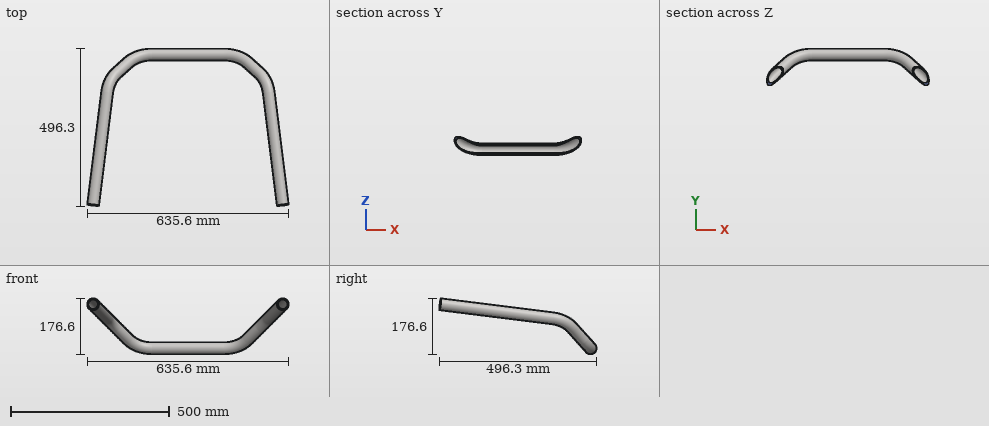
import cadquery as cq
import math

TUBE_OUTER_DIAMETER = 38.1
TUBE_WALL = 4.0
BEND_RADIUS = 92.0

CROSSBAR_LENGTH = 228.0
SHOULDER_LENGTH = 63.5
LEG_LENGTH = 358.8

SIDE_TILT = 45.0
SHOULDER_ANGLE = 57.5
LEG_ANGLE = 10.0


def splayed_direction(angle):
    """Unit vector splayed from -Y by the angle, in the tilted plane of the +X side."""
    splay = math.radians(angle)
    tilt = math.radians(SIDE_TILT)
    return cq.Vector(
        math.sin(splay) * math.cos(tilt),
        -math.cos(splay),
        math.sin(splay) * math.sin(tilt),
    )


def bend(start, incoming, outgoing):
    """Arc of the bend radius that turns the centreline from one direction to the next."""
    turn = incoming.getAngle(outgoing)
    setback = BEND_RADIUS * math.tan(turn / 2)
    corner = start + incoming * setback
    end = corner + outgoing * setback
    inward = (outgoing - incoming).normalized()
    corner_to_arc = BEND_RADIUS * (1 / math.cos(turn / 2) - 1)
    return cq.Edge.makeThreePointArc(start, corner + inward * corner_to_arc, end)


def half_centreline():
    """Centreline from the middle of the crossbar to the open end on the +X side."""
    crossbar_direction = cq.Vector(1, 0, 0)
    shoulder_direction = splayed_direction(SHOULDER_ANGLE)
    leg_direction = splayed_direction(LEG_ANGLE)

    crossbar_end = crossbar_direction * (CROSSBAR_LENGTH / 2)
    crossbar = cq.Edge.makeLine(cq.Vector(0, 0, 0), crossbar_end)
    inner_bend = bend(crossbar_end, crossbar_direction, shoulder_direction)

    shoulder_start = inner_bend.endPoint()
    shoulder_end = shoulder_start + shoulder_direction * SHOULDER_LENGTH
    shoulder = cq.Edge.makeLine(shoulder_start, shoulder_end)
    outer_bend = bend(shoulder_end, shoulder_direction, leg_direction)

    leg_start = outer_bend.endPoint()
    leg = cq.Edge.makeLine(leg_start, leg_start + leg_direction * LEG_LENGTH)
    return cq.Wire.assembleEdges([crossbar, inner_bend, shoulder, outer_bend, leg])


def half_frame():
    """Hollow tube swept along the +X half of the centreline."""
    outer_radius = TUBE_OUTER_DIAMETER / 2
    ring = cq.Workplane("YZ").circle(outer_radius).circle(outer_radius - TUBE_WALL)
    return ring.sweep(cq.Workplane(obj=half_centreline()))


right_half = half_frame()
result = right_half.union(right_half.mirror("YZ")).clean()